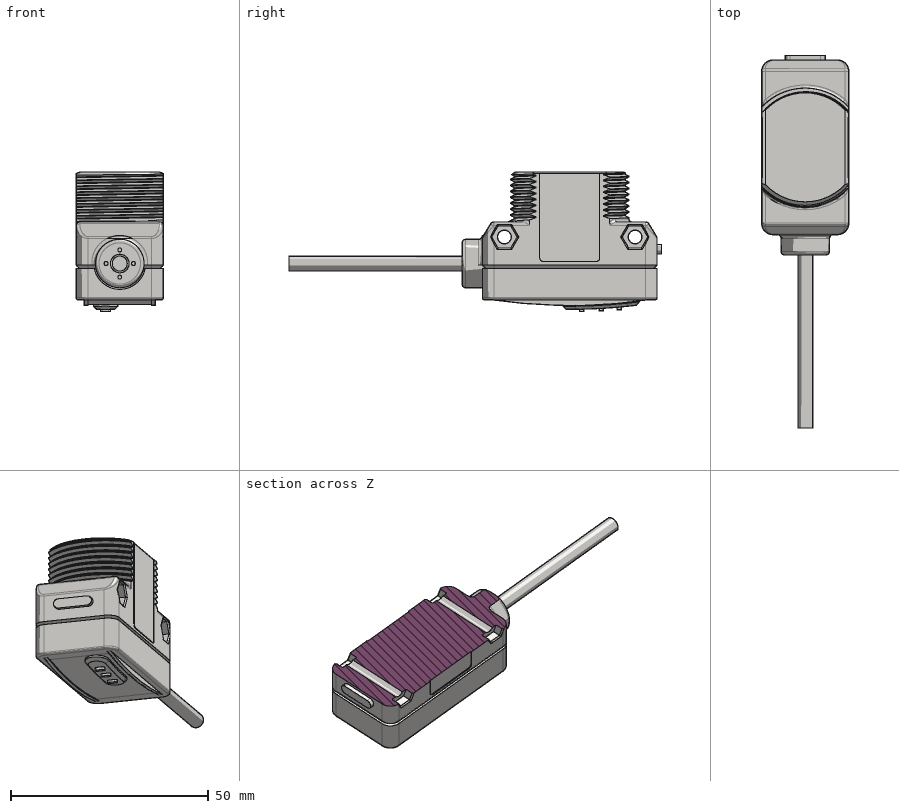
import cadquery as cq
import math


WIDTH = 22.14
LENGTH = 2 * WIDTH
HALF_WIDTH = WIDTH / 2
HALF_LENGTH = LENGTH / 2
CORNER_RADIUS = 3.0
OVERSIZE = 100.0

PARTING_Z = 8.0
SHOULDER_Z = 19.75
TOP_Z = 32.4

BASE_EDGE_RADIUS = 0.6
PAD_HALF_WIDTH = 9.0
PAD_HALF_LENGTH = 19.6
PAD_SAG = 1.4
PAD_RIM = 1.0
PAD_RECESS = 0.25
PAD_ARC_RADIUS = (PAD_HALF_LENGTH**2 + PAD_SAG**2) / (2 * PAD_SAG)
PAD_ARC_CENTER_Z = PAD_ARC_RADIUS - PAD_SAG
PANEL_X = -3.6
PANEL_WIDTH = 6.2
PANEL_Y_MIN = -1.7
PANEL_Y_MAX = 17.65
PANEL_HEIGHT = 1.0
PANEL_CHAMFER = 0.8
BUTTON_LENGTH = 2.6
BUTTON_WIDTH = 1.1
BUTTON_LOWEST_Z = -2.96
BUTTONS = [(12.5, -2.5), (8.0, -2.75), (3.0, BUTTON_LOWEST_Z)]

SEAM_GROOVE_DEPTH = 0.85
SEAM_GROOVE_HEIGHT = 0.8
END_SLOPE_RUN = 2.4
END_SLOPE_DROP = 3.9
SHOULDER_ROUND = 0.95

THREAD_RADIUS = 15.0
THREAD_ROOT_RADIUS = 14.0
THREAD_PITCH = 1.5
THREAD_START_Z = 20.375
THREAD_TURNS = 8
BLANK_TOP_Z = THREAD_START_Z + (THREAD_TURNS + 2) * THREAD_PITCH
THREAD_CREST_FLAT = 0.15
THREAD_ROOT_FLAT = 0.2
FLARE_RADIUS = 0.8
TOP_CHAMFER_RUN = 1.0
TOP_CHAMFER_DROP = 0.4
LEAD_IN_RUN = 1.2
LEAD_IN_DROP = 0.9
LABEL_WIDTH = 15.2
LABEL_BOTTOM_Z = 9.7
LABEL_CORNER_RADIUS = 1.0
LABEL_DEPTH = 0.2

MOUNT_Y = 16.54
MOUNT_Z = 15.95
MOUNT_DIAMETER = 3.4
NUT_ACROSS_FLATS = 5.6
NUT_MOUTH_CHAMFER = 0.35
NUT_DEPTH = 2.4

OUTLET_Z = 9.23
OUTLET_RADIUS = 6.15
OUTLET_END_Y = -27.26
OUTLET_INNER_Y = -19.0
OUTLET_END_ROUND = 0.9
OUTLET_FLARE = 0.95
OUTLET_CLEARANCE_CHAMFER = 0.4
RELIEF_RADIUS = 2.35
RELIEF_DEPTH = 1.0
PIN_HOLE_DIAMETER = 1.0
PIN_HOLE_CIRCLE_RADIUS = 3.45
PIN_HOLE_DEPTH = 1.0
CABLE_RADIUS = 1.9
CABLE_INNER_Y = -22.0
OVERALL_LENGTH = 94.38
LENS_END_Y = 23.27
CABLE_END_Y = LENS_END_Y - OVERALL_LENGTH
LENS_Z = 12.85
LENS_WIDTH = 10.2
LENS_HEIGHT = 2.45


def y_cylinder(radius, y_start, y_end):
    """Cylinder along Y on the cable axis."""
    plane = cq.Workplane("XZ", origin=(0, y_start, OUTLET_Z))
    return plane.circle(radius).extrude(y_start - y_end)


def block(z_bottom, z_top):
    """Rectangular block with rounded vertical corners."""
    outline = cq.Workplane("XY", origin=(0, 0, z_bottom)).rect(WIDTH, LENGTH)
    return outline.extrude(z_top - z_bottom).edges("|Z").fillet(CORNER_RADIUS)


def below_arc(drop, half_width, x_center=0.0):
    """Disc across X whose lowest line lies `drop` under the lowest line of the pad."""
    plane = cq.Workplane("YZ", origin=(x_center - half_width, 0, PAD_ARC_CENTER_Z))
    return plane.circle(PAD_ARC_RADIUS + drop).extrude(2 * half_width)


def arched_pad():
    """Shallow arched pad under the base with a raised rim along each side."""
    trim_plane = cq.Workplane("XY", origin=(0, 0, -OVERSIZE / 2))
    under_base = trim_plane.box(OVERSIZE, OVERSIZE, OVERSIZE)
    pad = below_arc(0, PAD_HALF_WIDTH).intersect(under_base)
    recess_half_width = PAD_HALF_WIDTH - PAD_RIM
    recess = below_arc(0, recess_half_width).cut(below_arc(-PAD_RECESS, recess_half_width))
    return pad.cut(recess.intersect(under_base))


def control_panel():
    """Long raised panel that follows the arc of the pad, with its row of buttons."""
    length = PANEL_Y_MAX - PANEL_Y_MIN
    middle_y = (PANEL_Y_MAX + PANEL_Y_MIN) / 2
    column = (
        cq.Workplane("XY", origin=(PANEL_X, middle_y, BASE_EDGE_RADIUS))
        .slot2D(length, PANEL_WIDTH, 90)
        .extrude(-(BASE_EDGE_RADIUS + PAD_SAG + 2 * PANEL_HEIGHT))
    )
    panel = column.intersect(below_arc(PANEL_HEIGHT, PANEL_WIDTH, PANEL_X))
    panel = panel.faces("<Z").chamfer(PANEL_CHAMFER)
    for y, lowest_z in BUTTONS:
        button = cq.Workplane("XY", origin=(PANEL_X, y, 0)).slot2D(BUTTON_LENGTH, BUTTON_WIDTH)
        panel = panel.union(button.extrude(lowest_z))
    return panel


def make_base():
    """Lower body, notched for the lower half of the cable outlet."""
    body = block(0, PARTING_Z).faces("<Z").edges().fillet(BASE_EDGE_RADIUS)
    body = body.union(arched_pad()).union(control_panel())
    body = body.cut(y_cylinder(OUTLET_RADIUS, OUTLET_INNER_Y, OUTLET_END_Y))
    mouth = cq.Solid.makeCone(
        OUTLET_RADIUS + OUTLET_CLEARANCE_CHAMFER,
        OUTLET_RADIUS,
        OUTLET_CLEARANCE_CHAMFER,
        pnt=cq.Vector(0, -HALF_LENGTH, OUTLET_Z),
        dir=cq.Vector(0, 1, 0),
    )
    return body.cut(cq.Workplane(mouth))


def shoulder_block():
    """Rounded block with sloped ends; its bottom edge is cut back to form the seam groove."""
    body = block(PARTING_Z, SHOULDER_Z)
    slope_z = SHOULDER_Z - END_SLOPE_DROP
    slope_y = HALF_LENGTH - END_SLOPE_RUN
    profile = [
        (-HALF_LENGTH, PARTING_Z),
        (HALF_LENGTH, PARTING_Z),
        (HALF_LENGTH, slope_z),
        (slope_y, SHOULDER_Z),
        (-slope_y, SHOULDER_Z),
        (-HALF_LENGTH, slope_z),
    ]
    sloped = cq.Workplane("YZ").polyline(profile).close().extrude(HALF_WIDTH, both=True)
    body = body.intersect(sloped)
    upper_corner = (WIDTH, LENGTH, TOP_Z)
    lower_corner = (-upper_corner[0], -upper_corner[1], (PARTING_Z + slope_z) / 2)
    upper_edges = cq.selectors.BoxSelector(lower_corner, upper_corner)
    body = body.edges(upper_edges).fillet(SHOULDER_ROUND)
    return body.faces("<Z").chamfer(SEAM_GROOVE_HEIGHT, SEAM_GROOVE_DEPTH)


def thread_groove():
    """Right-handed V groove that starts and ends outside the flat sides."""
    overlap = 0.2
    half_root = THREAD_ROOT_FLAT / 2
    half_mouth = (THREAD_PITCH - THREAD_CREST_FLAT) / 2
    flank_slope = (half_mouth - half_root) / (THREAD_RADIUS - THREAD_ROOT_RADIUS)
    half_outer = half_root + flank_slope * (THREAD_RADIUS + overlap - THREAD_ROOT_RADIUS)
    helix = cq.Wire.makeHelix(
        THREAD_PITCH,
        THREAD_TURNS * THREAD_PITCH,
        THREAD_ROOT_RADIUS,
        center=cq.Vector(0, 0, THREAD_START_Z),
    )
    section = [
        (THREAD_ROOT_RADIUS, -half_root),
        (THREAD_ROOT_RADIUS, half_root),
        (THREAD_RADIUS + overlap, half_outer),
        (THREAD_RADIUS + overlap, -half_outer),
    ]
    plane = cq.Workplane("XZ", origin=(0, 0, THREAD_START_Z))
    groove = plane.polyline(section).close().sweep(cq.Workplane(helix), isFrenet=True)
    return groove.rotate((0, 0, 0), (0, 0, 1), 180)


def lead_in_trim():
    """Everything above the top face and outside the lead-in chamfer of the thread."""
    radius = THREAD_RADIUS + FLARE_RADIUS
    face_radius = THREAD_RADIUS - LEAD_IN_RUN
    rim_z = TOP_Z - LEAD_IN_DROP / LEAD_IN_RUN * (radius - face_radius)
    profile = [
        (0, TOP_Z),
        (face_radius, TOP_Z),
        (radius, rim_z),
        (radius, BLANK_TOP_Z),
        (0, BLANK_TOP_Z),
    ]
    return cq.Workplane("XZ").polyline(profile).close().revolve()


def flat_envelope():
    """Bar along Y with the two side faces of the part and chamfered top edges."""
    flat_top = HALF_WIDTH - TOP_CHAMFER_RUN
    chamfer_z = TOP_Z - TOP_CHAMFER_DROP
    cross_section = [
        (-HALF_WIDTH, 0),
        (HALF_WIDTH, 0),
        (HALF_WIDTH, chamfer_z),
        (flat_top, TOP_Z),
        (-flat_top, TOP_Z),
        (-HALF_WIDTH, chamfer_z),
    ]
    return cq.Workplane("XZ").polyline(cross_section).close().extrude(LENGTH, both=True)


def body_with_tower():
    """Shoulder block and threaded post with a blended foot, cut flush at the sides."""
    post = cq.Workplane("XY", origin=(0, 0, MOUNT_Z)).circle(THREAD_RADIUS)
    body = shoulder_block().union(post.extrude(BLANK_TOP_Z - MOUNT_Z))
    foot_reach = THREAD_RADIUS + FLARE_RADIUS
    foot_zone = cq.selectors.BoxSelector(
        (-foot_reach, -foot_reach, MOUNT_Z + FLARE_RADIUS),
        (foot_reach, foot_reach, SHOULDER_Z + FLARE_RADIUS),
    )
    body = body.edges(foot_zone).fillet(FLARE_RADIUS)
    return body.cut(thread_groove()).cut(lead_in_trim()).intersect(flat_envelope())


def label_recesses():
    """Shallow panels in both side faces, open at the top."""
    height = TOP_Z - LABEL_BOTTOM_Z
    panel = (
        cq.Workplane("XY")
        .box(WIDTH, LABEL_WIDTH, height, centered=(True, True, False))
        .translate((0, 0, LABEL_BOTTOM_Z))
        .edges("|X and <Z")
        .fillet(LABEL_CORNER_RADIUS)
    )
    core = cq.Workplane("XY").box(WIDTH - 2 * LABEL_DEPTH, OVERSIZE, OVERSIZE)
    return panel.cut(core)


def mount_cutters(y):
    """Through hole along X with a chamfered nut pocket at each end."""
    plane = cq.Workplane("YZ", origin=(0, y, MOUNT_Z))
    cutter = plane.circle(MOUNT_DIAMETER / 2).extrude(HALF_WIDTH, both=True)
    across_corners = NUT_ACROSS_FLATS / math.cos(math.pi / 6)
    mouth_corners = across_corners + 2 * NUT_MOUTH_CHAMFER / math.cos(math.pi / 6)
    pocket_start = HALF_WIDTH - NUT_DEPTH
    for direction in (-1, 1):
        pocket = cq.Workplane("YZ", origin=(direction * pocket_start, y, MOUNT_Z))
        pocket = pocket.polygon(6, across_corners).extrude(direction * NUT_DEPTH)
        mouth = cq.Workplane("YZ", origin=(direction * HALF_WIDTH, y, MOUNT_Z))
        mouth = mouth.polygon(6, mouth_corners).extrude(-direction * NUT_MOUTH_CHAMFER, taper=45)
        cutter = cutter.union(pocket).union(mouth)
    return cutter


def cable_outlet():
    """Round outlet; its flared root exists only above the seam groove."""
    outlet = y_cylinder(OUTLET_RADIUS, OUTLET_INNER_Y, OUTLET_END_Y)
    outlet = outlet.faces("<Y").edges().fillet(OUTLET_END_ROUND)
    mid = OUTLET_FLARE * (1 - math.sqrt(0.5))
    flare = (
        cq.Workplane("XY", origin=(0, 0, OUTLET_Z))
        .moveTo(0, -HALF_LENGTH)
        .lineTo(OUTLET_RADIUS + OUTLET_FLARE, -HALF_LENGTH)
        .threePointArc(
            (OUTLET_RADIUS + mid, -HALF_LENGTH - mid),
            (OUTLET_RADIUS, -HALF_LENGTH - OUTLET_FLARE),
        )
        .lineTo(0, -HALF_LENGTH - OUTLET_FLARE)
        .close()
        .revolve(360, (0, 0, 0), (0, 1, 0))
    )
    flare_bottom_z = PARTING_Z + SEAM_GROOVE_HEIGHT
    upper_half = cq.Workplane("XY", origin=(0, 0, flare_bottom_z + OVERSIZE / 2))
    return outlet.union(flare.intersect(upper_half.box(OVERSIZE, OVERSIZE, OVERSIZE)))


def outlet_face_cutters():
    """Relief ring around the cable and four small holes beside it."""
    face = cq.Workplane("XZ", origin=(0, OUTLET_END_Y, OUTLET_Z))
    relief = face.circle(RELIEF_RADIUS).extrude(-RELIEF_DEPTH)
    pins = face.polarArray(PIN_HOLE_CIRCLE_RADIUS, 0, 360, 4).circle(PIN_HOLE_DIAMETER / 2)
    return relief.union(pins.extrude(-PIN_HOLE_DEPTH))


def end_lens():
    """Rounded bar standing out of the +Y end."""
    plane = cq.Workplane("XZ", origin=(0, LENS_END_Y, LENS_Z))
    return plane.slot2D(LENS_WIDTH, LENS_HEIGHT).extrude(LENS_END_Y - HALF_LENGTH + CORNER_RADIUS)


def make_housing():
    """Upper body with the threaded tower, cable outlet and end lens."""
    body = body_with_tower()
    body = body.cut(label_recesses())
    body = body.union(cable_outlet()).union(end_lens())
    for y in (-MOUNT_Y, MOUNT_Y):
        body = body.cut(mount_cutters(y))
    body = body.cut(outlet_face_cutters())
    return body.cut(y_cylinder(CABLE_RADIUS, CABLE_INNER_Y, CABLE_END_Y))


def make_cable():
    """Round cable seated in the bore of the outlet."""
    return y_cylinder(CABLE_RADIUS, CABLE_INNER_Y, CABLE_END_Y)


base = make_base()
housing = make_housing()
cable = make_cable()

result = cq.Compound.makeCompound([base.solids().val(), housing.solids().val(), cable.val()])